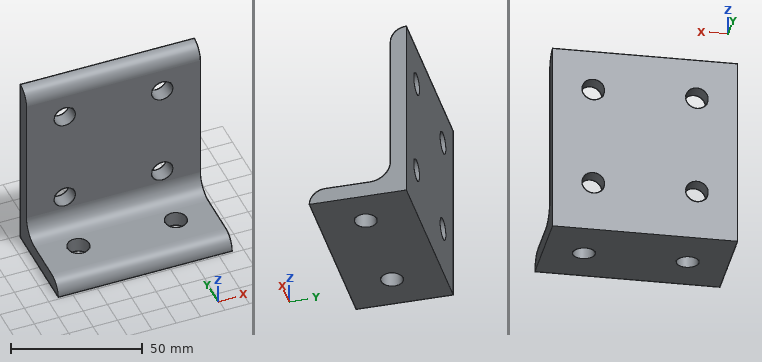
import cadquery as cq
import math

width = 71.4
depth = 38.1
height = 76.2

thickness = 6.3
inner_radius = 8.0

hole_diameter = 8.7
hole_spacing = 40.0
hole_offset = 20.0

DIAGONAL = math.sqrt(0.5)


def make_angle():
    """L section in the YZ plane, outer corner at the origin, extruded centred on X."""
    tip_offset = thickness * DIAGONAL
    fillet_centre = thickness + inner_radius
    fillet_middle = fillet_centre - inner_radius * DIAGONAL
    section = (
        cq.Workplane("YZ")
        .lineTo(-depth, 0)
        .threePointArc((-depth + thickness - tip_offset, tip_offset), (-depth + thickness, thickness))
        .lineTo(-fillet_centre, thickness)
        .threePointArc((-fillet_middle, fillet_middle), (-thickness, fillet_centre))
        .lineTo(-thickness, height - thickness)
        .threePointArc((-tip_offset, height - thickness + tip_offset), (0, height))
        .close()
    )
    return section.extrude(width / 2, both=True)


def make_hole_cutters():
    """Cylinders through the upright leg (four) and the base leg (two)."""
    radius = hole_diameter / 2
    cutters = []
    for x in (-hole_spacing / 2, hole_spacing / 2):
        for z in (hole_offset, hole_offset + hole_spacing):
            upright = cq.Solid.makeCylinder(radius, depth, cq.Vector(x, 0, z), cq.Vector(0, -1, 0))
            cutters.append(upright)
        base = cq.Solid.makeCylinder(radius, thickness, cq.Vector(x, -hole_offset, 0), cq.Vector(0, 0, 1))
        cutters.append(base)
    return cutters


result = make_angle()
for cutter in make_hole_cutters():
    result = result.cut(cq.Workplane(cutter))